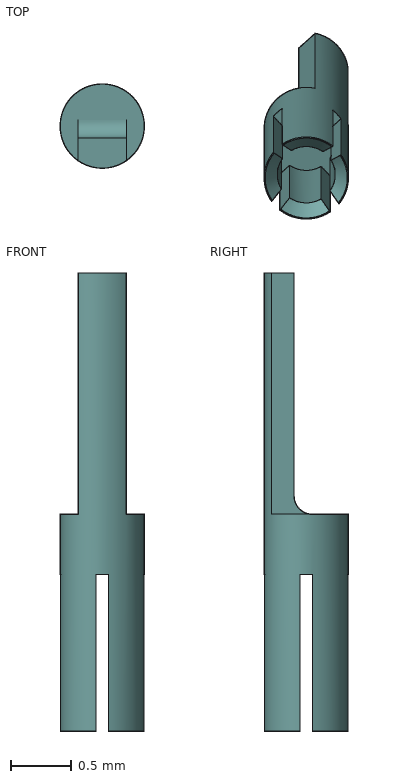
import cadquery as cq

body_diameter = 0.7
body_length = 1.8
blade_length = 2.0
blade_width = 0.4
blade_back_y = -0.1
root_fillet_radius = 0.15
slot_width = 0.1
slot_depth = 1.3
bore_diameter = 0.48
mouth_diameter = 0.68
mouth_depth = 0.12

overall_length = body_length + blade_length


def make_cylinder(length):
    """Round stock of the body diameter, standing on Z = 0."""
    return cq.Workplane("XY").circle(body_diameter / 2).extrude(length)


def make_blade():
    """Flat-backed blade with a concave fillet at its root, rounded in front by the stock."""
    front_y = -body_diameter / 2
    fillet_end_y = blade_back_y + root_fillet_radius
    blade = (
        cq.Workplane("YZ")
        .moveTo(front_y, 0)
        .lineTo(fillet_end_y, 0)
        .lineTo(fillet_end_y, body_length)
        .radiusArc((blade_back_y, body_length + root_fillet_radius), root_fillet_radius)
        .lineTo(blade_back_y, overall_length)
        .lineTo(front_y, overall_length)
        .close()
        .extrude(blade_width / 2, both=True)
    )
    return blade.intersect(make_cylinder(overall_length))


def make_cross_slots():
    """Two crossing slots that split the lower end of the body into four prongs."""
    slot = cq.Workplane("XY").box(
        body_diameter, slot_width, slot_depth, centered=(True, True, False)
    )
    return slot.union(slot.rotate((0, 0, 0), (0, 0, 1), 90))


def make_bore():
    """Round bore as deep as the slots, opening through a conical mouth at the lower end."""
    bore_radius = bore_diameter / 2
    half_section = (
        cq.Workplane("XZ")
        .lineTo(mouth_diameter / 2, 0)
        .lineTo(bore_radius, mouth_depth)
        .lineTo(bore_radius, slot_depth)
        .lineTo(0, slot_depth)
        .close()
    )
    return half_section.revolve(360, (0, 0, 0), (0, 1, 0))


body = make_cylinder(body_length).union(make_blade())
result = body.cut(make_bore()).cut(make_cross_slots())